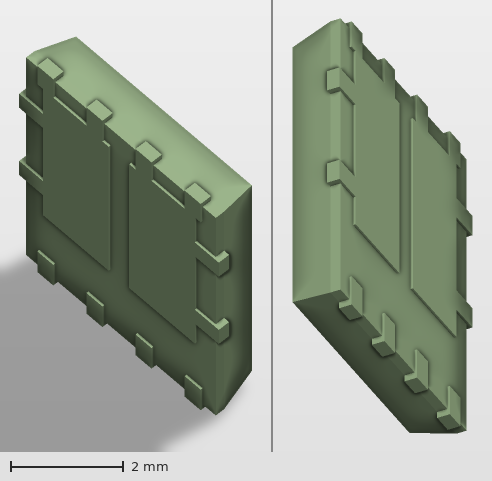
import cadquery as cq

overall_width = 5.15
overall_length = 6.15
overall_depth = 1.1

lead_overhang = 0.13
body_standoff = 0.05
taper_inset = 0.18

lead_thickness = 0.25
lead_width = 0.41
lead_length = 0.615
lead_pitch = 1.265
lead_count = 4
side_lead_width = 0.42
side_lead_spacing = 2.005
upper_side_lead_drop = 1.5
pad_gap = 0.53
pad_width = 1.69
pad_top_drop = 0.55
pad_inner_top_drop = 0.615
pad_bottom_drop = 4.31

body_width = overall_width - 2 * lead_overhang
body_length = overall_length - 2 * lead_overhang
rim_depth = lead_thickness - body_standoff
taper_depth = overall_depth - lead_thickness
top_end = overall_length / 2
lead_centres = [(i - (lead_count - 1) / 2) * lead_pitch for i in range(lead_count)]
pad_inner_edge = pad_gap / 2
pad_outer_edge = pad_inner_edge + pad_width


def plate(x_min, x_max, z_min, z_max, y_front, depth):
    """Rectangular block reaching back from y_front."""
    size = (x_max - x_min, depth, z_max - z_min)
    return cq.Workplane("XY").box(*size, centered=False).translate((x_min, y_front, z_min))


def contact(x_min, x_max, z_min, z_max):
    """Flat metal block whose front lies on the contact face (Y = 0)."""
    return plate(x_min, x_max, z_min, z_max, 0, lead_thickness)


def body():
    rim = plate(
        -body_width / 2, body_width / 2, -body_length / 2, body_length / 2, body_standoff, rim_depth
    )
    back = (
        rim.faces(">Y")
        .workplane(centerOption="CenterOfBoundBox")
        .rect(body_width, body_length)
        .workplane(offset=taper_depth)
        .rect(body_width - 2 * taper_inset, body_length - 2 * taper_inset)
        .loft(combine=False)
    )
    return rim.union(back)


def bottom_leads():
    leads = cq.Workplane("XY")
    for x in lead_centres:
        leads = leads.add(
            contact(x - lead_width / 2, x + lead_width / 2, -top_end, -top_end + lead_length)
        )
    return leads.combine()


def right_pad():
    """Pad on the +X side, with its two top leads and two side leads."""
    bottom = top_end - pad_bottom_drop
    inner_top = top_end - pad_inner_top_drop
    outer_top = top_end - pad_top_drop
    pad_leads = [x for x in lead_centres if x > 0]
    step_x = pad_leads[0] - lead_width / 2

    pad = contact(pad_inner_edge, pad_outer_edge, bottom, inner_top)
    pad = pad.union(contact(step_x, pad_outer_edge, bottom, outer_top))
    for x in pad_leads:
        pad = pad.union(contact(x - lead_width / 2, x + lead_width / 2, outer_top, top_end))
    for drop in (upper_side_lead_drop, upper_side_lead_drop + side_lead_spacing):
        z = top_end - drop
        side_lead = contact(
            pad_outer_edge, overall_width / 2, z - side_lead_width / 2, z + side_lead_width / 2
        )
        pad = pad.union(side_lead)
    return pad


pad_with_leads = right_pad()
result = body().union(bottom_leads()).union(pad_with_leads).union(pad_with_leads.mirror("YZ")).clean()